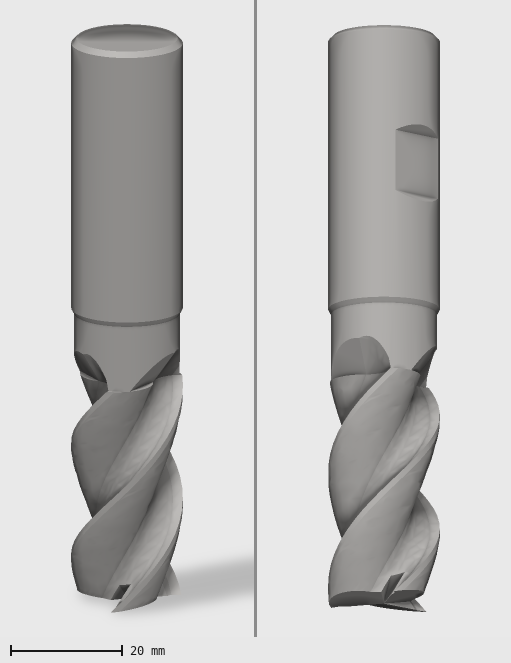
import cadquery as cq
import math

LENGTH = 104.0
CUTTER_RADIUS = 10.0
NECK_RADIUS = 9.5
OUTSIDE_RADIUS = 2 * CUTTER_RADIUS

FLUTE_TOP = 41.0
NECK_TOP = 53.0
SHANK_BOTTOM = 54.0
TOP_CHAMFER = 0.9

FLAT_Y = 8.5
FLAT_LENGTH = 11.0
FLAT_CENTRE_Z = 79.1

TEETH = 3
LEAD = 62.4
PITCH_ANGLE = 360 / TEETH
TIP_ANGLE = 177.5
TWIST = 360 * FLUTE_TOP / LEAD

CUTTING_EDGE = (CUTTER_RADIUS, 0.0)
LAND_MIDDLE = (CUTTER_RADIUS, 4.0)
LAND_END = (CUTTER_RADIUS, 8.0)
BACK = [(9.6, 20.0), (8.4, 40.0), (7.0, 60.0)]
HEEL = (5.5, 78.0)
GULLET = (5.6, 107.0)
RAKE_FOOT = (8.2, 122.0)

RUNOUT_HEIGHT = 9.4
RUNOUT_OUTWARD = 0.7
RUNOUT_DIRECTION = 95.0
RUNOUT_FLAT_END = 28.0
RUNOUT_WALL_END = (CUTTER_RADIUS, 22.0)

END_RELIEF_SLOPE = 0.18
GASH_HEIGHT = 5.7
GASH_RADIUS = 7.8
GASH_WIDTH = 3.1
GASH_ROOT_START = 0.4
GASH_ROOT_END = 3.3


def polar(point, start_angle):
    """XY position of a (radius, angle) point measured from start_angle."""
    radius, angle = point
    direction = math.radians(start_angle + angle)
    return (radius * math.cos(direction), radius * math.sin(direction))


def trace_gullet(outline, edge_angle):
    """Continue an outline from the heel through the gullet to the next cutting edge."""
    gullet = [polar(point, edge_angle) for point in (GULLET, RAKE_FOOT)]
    outline = outline.threePointArc(*gullet)
    return outline.lineTo(*polar(CUTTING_EDGE, edge_angle + PITCH_ANGLE))


def fluted_bar():
    outline = cq.Workplane("XY").moveTo(*polar(CUTTING_EDGE, TIP_ANGLE))
    for tooth in range(TEETH):
        edge_angle = TIP_ANGLE + tooth * PITCH_ANGLE
        outline = outline.threePointArc(polar(LAND_MIDDLE, edge_angle), polar(LAND_END, edge_angle))
        back = [polar(point, edge_angle) for point in BACK + [HEEL]]
        outline = outline.spline(back, includeCurrent=True)
        outline = trace_gullet(outline, edge_angle)
    return outline.close().twistExtrude(FLUTE_TOP, TWIST)


def end_relief():
    """Wedge under one tooth, rising behind a cutting edge that lies along +X."""
    rise = END_RELIEF_SLOPE * OUTSIDE_RADIUS
    wedge = (
        cq.Workplane("YZ", origin=(-OUTSIDE_RADIUS, 0, 0))
        .polyline([(0, 0), (OUTSIDE_RADIUS, 0), (OUTSIDE_RADIUS, rise)])
        .close()
        .extrude(2 * OUTSIDE_RADIUS)
    )
    corners = [(OUTSIDE_RADIUS, angle) for angle in (0, PITCH_ANGLE / 2, PITCH_ANGLE)]
    sector = (
        cq.Workplane("XY")
        .polyline([(0, 0)] + [polar(corner, 0) for corner in corners])
        .close()
        .extrude(rise)
    )
    return wedge.intersect(sector)


def gash():
    """Pyramid-shaped notch ahead of a cutting edge along +X, deepening away from the axis."""
    section = [
        (0, 0),
        (-GASH_WIDTH, 0),
        (GASH_ROOT_START, GASH_HEIGHT),
        (GASH_ROOT_END, GASH_HEIGHT),
    ]
    points = [cq.Vector(GASH_RADIUS, y, z) for y, z in section]
    apex = cq.Vector(0, 0, 0)
    sides = [[apex, points[i - 1], points[i]] for i in range(len(points))]
    faces = [cq.Face.makeFromWires(cq.Wire.makePolygon(side, close=True)) for side in [points] + sides]
    return cq.Workplane(cq.Solid.makeSolid(cq.Shell.makeShell(faces)))


def make_cutter():
    cutter = fluted_bar()
    for tooth in range(TEETH):
        edge_angle = TIP_ANGLE + tooth * PITCH_ANGLE
        for tool in (end_relief(), gash()):
            cutter = cutter.cut(tool.rotate((0, 0, 0), (0, 0, 1), edge_angle))
    return cutter


def flute_runout(edge_angle):
    """Flat-backed flute carried upward and outward until it leaves the neck."""
    flat_end = (HEEL[0] / math.cos(math.radians(HEEL[1] - RUNOUT_FLAT_END)), RUNOUT_FLAT_END)
    outline = cq.Workplane("XY", origin=(0, 0, FLUTE_TOP)).moveTo(*polar(RUNOUT_WALL_END, edge_angle))
    for point in (flat_end, HEEL):
        outline = outline.lineTo(*polar(point, edge_angle))
    outline = trace_gullet(outline, edge_angle)
    for angle in (PITCH_ANGLE, RUNOUT_DIRECTION, RUNOUT_WALL_END[1]):
        outline = outline.lineTo(*polar((OUTSIDE_RADIUS, angle), edge_angle))
    section = outline.close().wires().val()
    shift = polar((RUNOUT_OUTWARD * RUNOUT_HEIGHT, RUNOUT_DIRECTION), edge_angle)
    travel = cq.Vector(*shift, RUNOUT_HEIGHT)
    return cq.Workplane(cq.Solid.extrudeLinear(section, [], travel))


def clamping_flat():
    """Trapezoidal notch with 45 degree ends across the +Y side of the shank."""
    depth = OUTSIDE_RADIUS - FLAT_Y
    half = FLAT_LENGTH / 2
    return (
        cq.Workplane("YZ", origin=(0, FLAT_Y, FLAT_CENTRE_Z))
        .polyline([(0, -half), (0, half), (depth, half + depth), (depth, -half - depth)])
        .close()
        .extrude(OUTSIDE_RADIUS, both=True)
    )


def make_shank():
    profile = [
        (0, FLUTE_TOP),
        (NECK_RADIUS, FLUTE_TOP),
        (NECK_RADIUS, NECK_TOP),
        (CUTTER_RADIUS, SHANK_BOTTOM),
        (CUTTER_RADIUS, LENGTH - TOP_CHAMFER),
        (CUTTER_RADIUS - TOP_CHAMFER, LENGTH),
        (0, LENGTH),
    ]
    shank = cq.Workplane("XZ").polyline(profile).close().revolve(360, (0, 0), (0, 1))
    shank = shank.cut(clamping_flat())
    for tooth in range(TEETH):
        shank = shank.cut(flute_runout(TIP_ANGLE + TWIST + tooth * PITCH_ANGLE))
    return shank


cutter = make_cutter()
shank = make_shank()
result = cq.Compound.makeCompound([cutter.val(), shank.val()])